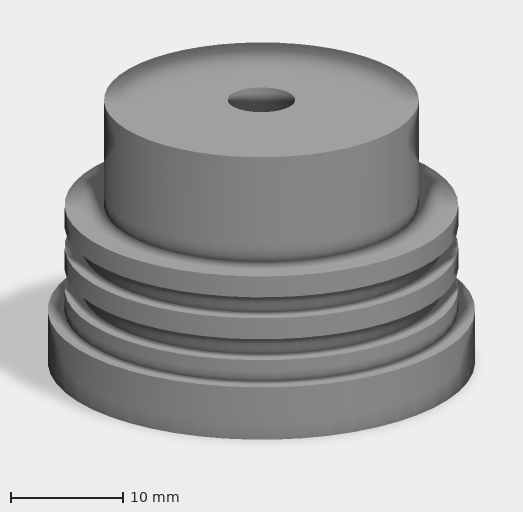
import cadquery as cq

flange_diameter = 38.0
flange_height = 5.0
land_diameter = 35.0
groove_diameter = 32.0
ring_height = 2.0
groove_count = 2
hub_diameter = 28.0
hub_height = 10.0
bore_diameter = 6.0

grooved_height = (2 * groove_count + 1) * ring_height
hub_base = flange_height + grooved_height
total_height = hub_base + hub_height


def disc(diameter, height, base):
    """Solid cylinder on the Z axis, standing on the level `base`."""
    return cq.Workplane("XY", origin=(0, 0, base)).circle(diameter / 2).extrude(height)


def ring_groove(base):
    """Ring to cut from the grooved body, starting at the level `base`."""
    return (
        cq.Workplane("XY", origin=(0, 0, base))
        .circle(land_diameter / 2)
        .circle(groove_diameter / 2)
        .extrude(ring_height)
    )


grooved_body = disc(land_diameter, grooved_height, flange_height)
for index in range(groove_count):
    groove_base = flange_height + (2 * index + 1) * ring_height
    grooved_body = grooved_body.cut(ring_groove(groove_base))

flange = disc(flange_diameter, flange_height, 0)
hub = disc(hub_diameter, hub_height, hub_base)
body = flange.union(grooved_body).union(hub)

result = body.cut(disc(bore_diameter, total_height, 0))